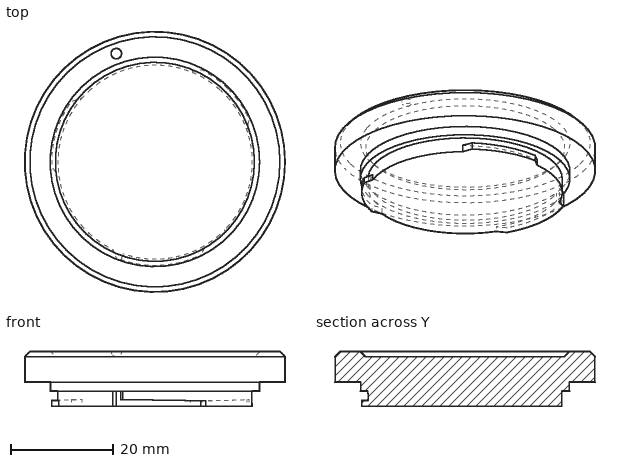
import cadquery as cq
import math


total_height = 10.75
flange_radius = 25.5
flange_thickness = 6.0
flange_chamfer = 1.0
flange_bottom = total_height - flange_thickness

shoulder_radius = 20.5
spigot_radius = 19.0
spigot_height = 2.95

pocket_top_radius = shoulder_radius
pocket_depth = 1.0
pocket_floor_radius = pocket_top_radius - pocket_depth

mark_radius = 1.0
mark_orbit_radius = 22.5
mark_angle = 109.6

lug_radius = 20.25
lug_root_radius = spigot_radius - 0.5
lug_tall_height = 1.4
lug_low_height = 1.05
lug_taper = 5.3
stop_start_taper = 3.7
stop_start_angle = 248.0
lugs = [
    (24.6, 63.2, lug_taper),
    (144.1, 182.8, lug_taper),
    (stop_start_angle, 296.3, stop_start_taper),
]

stop_end_angle = 250.8


def polar(radius, angle):
    radians = math.radians(angle)
    return (radius * math.cos(radians), radius * math.sin(radians))


def ring_sector(start_angle, end_angle, height, start_taper, end_taper):
    """Ring sector from the spigot to the lug radius, widened toward its root by the tapers."""
    middle_angle = (start_angle + end_angle) / 2
    root_start_angle = start_angle - start_taper
    root_end_angle = end_angle + end_taper
    return (
        cq.Workplane("XY")
        .moveTo(*polar(lug_root_radius, root_start_angle))
        .lineTo(*polar(spigot_radius, root_start_angle))
        .lineTo(*polar(lug_radius, start_angle))
        .threePointArc(polar(lug_radius, middle_angle), polar(lug_radius, end_angle))
        .lineTo(*polar(spigot_radius, root_end_angle))
        .lineTo(*polar(lug_root_radius, root_end_angle))
        .threePointArc(polar(lug_root_radius, middle_angle), polar(lug_root_radius, root_start_angle))
        .close()
        .extrude(height)
    )


def ramped_lug(start_angle, end_angle, start_taper):
    """Lug whose upper face falls from its tall end to its low end."""
    sector = ring_sector(start_angle, end_angle, lug_tall_height, start_taper, lug_taper)
    middle_angle = (start_angle + end_angle) / 2
    half_angle = (end_angle - start_angle) / 2 + lug_taper
    half_length = lug_radius * math.sin(math.radians(half_angle))
    ramp = (
        cq.Workplane("YZ")
        .polyline([
            (-half_length, 0),
            (half_length, 0),
            (half_length, lug_low_height),
            (-half_length, lug_tall_height),
        ])
        .close()
        .extrude(flange_radius)
        .rotate((0, 0, 0), (0, 0, 1), middle_angle)
    )
    return sector.intersect(ramp)


flange = (
    cq.Workplane("XY")
    .workplane(offset=flange_bottom)
    .circle(flange_radius)
    .extrude(flange_thickness)
    .faces(">Z")
    .edges()
    .chamfer(flange_chamfer)
)
shoulder = (
    cq.Workplane("XY")
    .workplane(offset=spigot_height)
    .circle(shoulder_radius)
    .extrude(flange_bottom - spigot_height)
)
spigot = cq.Workplane("XY").circle(spigot_radius).extrude(spigot_height)
body = flange.union(shoulder).union(spigot)

for lug_start, lug_end, lug_start_taper in lugs:
    body = body.union(ramped_lug(lug_start, lug_end, lug_start_taper))
stop = ring_sector(stop_start_angle, stop_end_angle, spigot_height, stop_start_taper, 0)
body = body.union(stop)

pocket = (
    cq.Workplane("XY")
    .workplane(offset=total_height - pocket_depth)
    .circle(pocket_floor_radius)
    .workplane(offset=pocket_depth)
    .circle(pocket_top_radius)
    .loft(ruled=True)
)
mark_x, mark_y = polar(mark_orbit_radius, mark_angle)
index_mark = cq.Workplane("XY").sphere(mark_radius).translate((mark_x, mark_y, total_height))

result = body.cut(pocket).cut(index_mark)